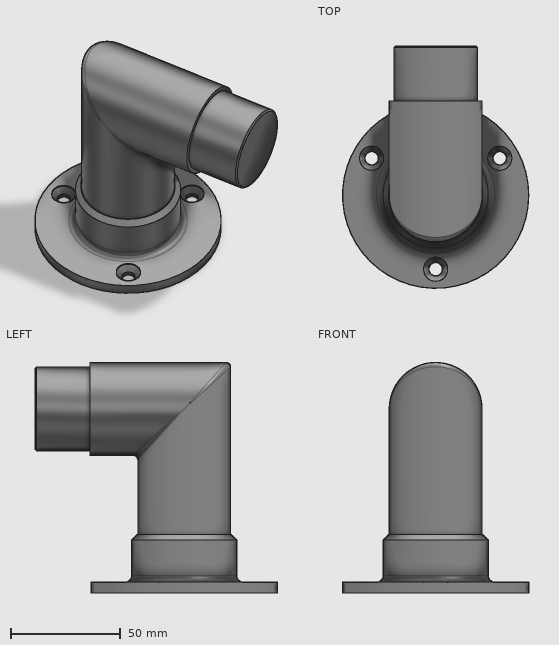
import cadquery as cq
import math

flange_diameter = 85.0
flange_thickness = 5.0

collar_diameter = 48.0
collar_top = 26.7
collar_chamfer = 2.5
collar_fillet = 3.0

tube_diameter = 42.4
arm_axis_height = 84.0
arm_reach = 43.0
mitre_fillet = 2.0
mitre_fillet_half_width = 21.0

spigot_diameter = 38.3
spigot_length = 25.0
spigot_chamfer = 0.7

screw_count = 3
screw_circle_radius = 33.75
screw_hole_diameter = 6.0
screw_head_diameter = 11.0
screw_head_recess = 0.5
first_screw_angle = -90.0

flange_radius = flange_diameter / 2
collar_radius = collar_diameter / 2
tube_radius = tube_diameter / 2
elbow_top = arm_axis_height + tube_radius


def make_base():
    """Flange and collar turned as one body, with a flared foot and a chamfered top."""
    flare_middle = collar_fillet * (1 - math.sqrt(0.5))
    return (
        cq.Workplane("XZ")
        .lineTo(flange_radius, 0)
        .lineTo(flange_radius, flange_thickness)
        .lineTo(collar_radius + collar_fillet, flange_thickness)
        .threePointArc(
            (collar_radius + flare_middle, flange_thickness + flare_middle),
            (collar_radius, flange_thickness + collar_fillet),
        )
        .lineTo(collar_radius, collar_top - collar_chamfer)
        .lineTo(collar_radius - collar_chamfer, collar_top)
        .lineTo(0, collar_top)
        .close()
        .revolve(360, (0, 0, 0), (0, 1, 0))
    )


def make_mitred_tubes():
    """Upright and arm, each cut along the mitre plane Z = arm_axis_height - Y, then joined."""
    below_mitre = (
        cq.Workplane("YZ")
        .moveTo(-tube_radius, 0)
        .lineTo(arm_axis_height, 0)
        .lineTo(-tube_radius, elbow_top)
        .close()
        .extrude(tube_radius, both=True)
    )
    upright = cq.Workplane("XY").circle(tube_radius).extrude(elbow_top).intersect(below_mitre)
    arm = (
        cq.Workplane("XZ", origin=(0, arm_reach, arm_axis_height))
        .circle(tube_radius)
        .extrude(arm_reach + tube_radius)
        .cut(below_mitre)
    )
    return upright.union(arm)


def make_elbow():
    """Mitred tubes with the corner rounded outside and filled inside, fading out at the flanks."""
    sharp_elbow = make_mitred_tubes()
    middle_slab = cq.Workplane("XY").box(
        2 * mitre_fillet_half_width,
        2 * (arm_reach + tube_radius),
        2 * elbow_top,
    )
    middle = sharp_elbow.intersect(middle_slab).edges("%ELLIPSE").fillet(mitre_fillet)
    flanks = sharp_elbow.cut(middle_slab)
    return middle.union(flanks)


def make_spigot():
    """Reduced end of the arm, chamfered at its free face."""
    return (
        cq.Workplane("XZ", origin=(0, arm_reach, arm_axis_height))
        .circle(spigot_diameter / 2)
        .extrude(-spigot_length)
        .faces(">Y")
        .chamfer(spigot_chamfer)
    )


def make_screw_hole(angle):
    """Through hole with a 90 degree countersink below a shallow straight recess."""
    hole_radius = screw_hole_diameter / 2
    head_radius = screw_head_diameter / 2
    cone_top = flange_thickness - screw_head_recess
    cone_bottom = cone_top - (head_radius - hole_radius)
    return (
        cq.Workplane("XZ")
        .lineTo(hole_radius, 0)
        .lineTo(hole_radius, cone_bottom)
        .lineTo(head_radius, cone_top)
        .lineTo(head_radius, flange_thickness)
        .lineTo(0, flange_thickness)
        .close()
        .revolve(360, (0, 0, 0), (0, 1, 0))
        .translate((screw_circle_radius, 0, 0))
        .rotate((0, 0, 0), (0, 0, 1), angle)
    )


result = make_base().union(make_elbow()).union(make_spigot())
for index in range(screw_count):
    result = result.cut(make_screw_hole(first_screw_angle + index * 360 / screw_count))